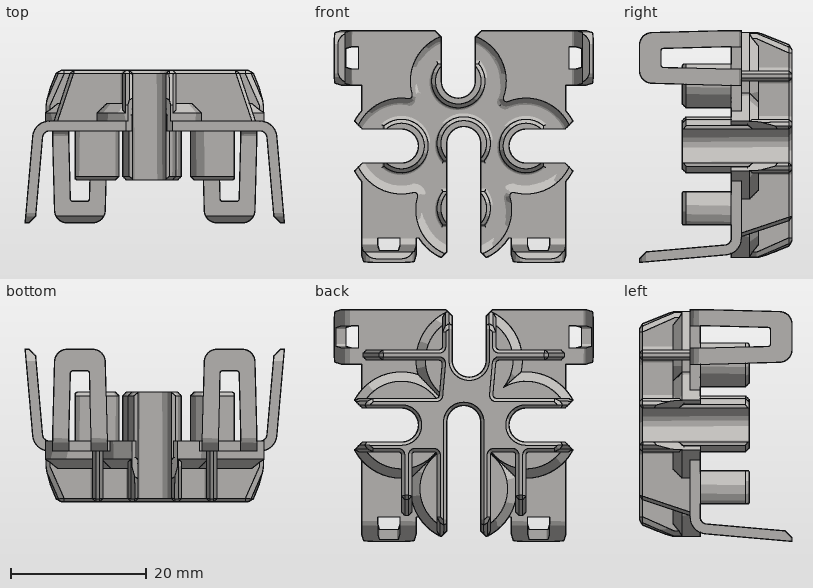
import cadquery as cq
import math

WIDTH = 38.22
DEPTH = 22.5
BACK = 9.0
TIP = BACK - DEPTH
PLATE = 1.5
PLATE_HALF = 15.05
PLATE_TOP = 17.0
BOTTOM = -17.15
CUT = 76.45

SLOT_R = 2.5
TUBE_R = 3.95
TUBE_FRONT = -7.22
TUBE_CHAMFER = 0.57
ARM = 2.55
LOW_ARM = 2.45
FOOT_FILLET = 0.5
SIDE_X = 9.17
LEFT_C = (-SIDE_X, 0.0)
RIGHT_C = (SIDE_X, 0.0)
TOP_C = (-0.8, 9.55)
MID_C = (0.0, 0.4)
LOW_TUBE_C = (0.0, -9.17)

LOW_C = (0.0, -9.35)
BOSS_R = 7.85
BOSS_TOP = 4.05
BOSS_CHAMFER = 1.38
POCKET_R = 7.07
POCKET_DEPTH = 3.3
POCKET_CHAMFER = 0.88
POCKET_FLOOR_FILLET = 0.9
CUSP_FILLET = 0.5

CONE_LENGTH = 5.15
CONE_ANGLE = 20.0
RIB = 1.53
RIB_Z = 10.32
RIB_X = 8.4
RIB_INSET = 0.23
RIB_ANGLE = 18.5
CORNER_FILLET = 0.5
EDGE_CHAMFER = 0.5

BEND_R = 1.0
LEG_ANGLE = 5.0
LEG_W = 8.05
LEG_SLOT_W = 3.25
LEG_SLOT_END = -10.32
LEG_SLOT_CORNER_R = 0.3
LEG_SIDE_TAPER = 1.5
LEG_CORNER_R = 1.9
LEG_TIP_CHAMFER = 1.05

DOWN = (0, -1)
PETALS = [
    (LEFT_C, (-1, 0), 5.75),
    (RIGHT_C, (1, 0), 5.75),
    (TOP_C, (0, 1), 6.5),
    (LOW_C, DOWN, 6.23),
]

BEND_OUTER = BEND_R + PLATE
SPLAY = math.radians(LEG_ANGLE)
LEG_DROP = BEND_OUTER * math.sin(SPLAY) - BEND_R - TIP
LEG_REACH = BEND_OUTER * math.cos(SPLAY) + LEG_DROP * math.tan(SPLAY)
PLATE_LOW = BOTTOM + LEG_REACH


def prism(points, y0, y1):
    """Extrude an (x, z) polygon from y0 to y1."""
    return cq.Workplane("XZ", origin=(0, y1, 0)).polyline(points).close().extrude(y1 - y0)


def disc(centre, radius, y0, y1):
    return cq.Workplane("XZ", origin=(0, y1, 0)).center(*centre).circle(radius).extrude(y1 - y0)


def along(centre, direction, points):
    """Turn (outward, sideways) offsets from a slot centre into (x, z) points."""
    (cx, cz), (dx, dz) = centre, direction
    return [(cx + u * dx - v * dz, cz + u * dz + v * dx) for u, v in points]


def strip(centre, direction, start, end, half, y0, y1):
    """Bar of half-width `half` running along a slot direction."""
    corners = [(start, -half), (end, -half), (end, half), (start, half)]
    return prism(along(centre, direction, corners), y0, y1)


def union(solids):
    total = solids[0]
    for solid in solids[1:]:
        total = total.union(solid)
    return total



def boss():
    """Four petals with bevelled rear rims around the slotted tubes, and a filled centre."""
    petals = [disc(centre, BOSS_R, 0, BOSS_TOP).faces(">Y").chamfer(BOSS_CHAMFER) for centre, _, _ in PETALS]
    return union(petals + [disc(MID_C, TUBE_R, 0, BOSS_TOP)])


def cusp(first, second, radius):
    """Outer crossing point of two equal circles, taken anticlockwise around the flower."""
    mid_x, mid_z = (first[0] + second[0]) / 2, (first[1] + second[1]) / 2
    gap = math.dist(first, second)
    height = math.sqrt(radius**2 - gap**2 / 4)
    return (mid_x + height * (second[1] - first[1]) / gap, mid_z - height * (second[0] - first[0]) / gap)


def pocket():
    """Flower-shaped hollow with rounded cusps and a bevelled, rounded floor rim."""
    ring = [RIGHT_C, TOP_C, LEFT_C, LOW_C]
    cusps = [cusp(ring[i - 1], ring[i], POCKET_R) for i in range(len(ring))]
    outline = cq.Workplane("XZ", origin=(0, POCKET_DEPTH, 0)).moveTo(*cusps[0])
    for (cx, cz), end in zip(ring, cusps[1:] + cusps[:1]):
        stretch = 1 + POCKET_R / math.hypot(cx, cz)
        outline = outline.threePointArc((cx * stretch, cz * stretch), end)
    hollow = outline.close().extrude(POCKET_DEPTH).edges("|Y").fillet(CUSP_FILLET)
    hollow = hollow.faces(">Y").chamfer(POCKET_CHAMFER)
    return hollow.faces(">Y").edges().fillet(POCKET_FLOOR_FILLET)



def straight_slots():
    """Through slots with round inner ends; the lower one starts at the middle tube."""
    starts = [LEFT_C, RIGHT_C, TOP_C, MID_C]
    cuts = [disc(start, SLOT_R, TUBE_FRONT, BACK) for start in starts]
    for start, (_, direction, _) in zip(starts, PETALS):
        cuts.append(strip(start, direction, 0, CUT, SLOT_R, TUBE_FRONT, BACK))
    return union(cuts).clean()


def slot_mouths():
    """45 degree flares at the open ends of the slots."""
    flares = []
    for centre, direction, mouth in PETALS:
        wedge = [(mouth - SLOT_R, 0), (mouth + SLOT_R, -2 * SLOT_R), (mouth + SLOT_R, 2 * SLOT_R)]
        flares.append(prism(along(centre, direction, wedge), 0, BACK))
    return union(flares)



def tapered_end(centre):
    """Turned envelope that rounds and tapers the outer end of a slot wall."""
    back_r = BOSS_R - CONE_LENGTH * math.tan(math.radians(CONE_ANGLE))
    profile = [(0, 0), (BOSS_R, 0), (BOSS_R, BACK - CONE_LENGTH), (back_r, BACK), (0, BACK)]
    turned = cq.Workplane("XY").polyline(profile).close().revolve(360, (0, 0, 0), (0, 1, 0))
    return turned.translate((centre[0], 0, centre[1]))


def slot_wall(centre, direction):
    wall = disc(centre, TUBE_R, 0, BACK).union(strip(centre, direction, 0, BOSS_R, TUBE_R, 0, BACK))
    return wall.intersect(tapered_end(centre))


def wall_core():
    """Solid core joining the four slot walls."""
    crossbar = strip(LEFT_C, (1, 0), 0, 2 * SIDE_X, TUBE_R, 0, BACK)
    stem = strip(MID_C, DOWN, 0, MID_C[1] - LOW_C[1], TUBE_R, 0, BACK)
    bridge = prism([(TOP_C[0] - TUBE_R, TOP_C[1]), (MID_C[0] - TUBE_R, MID_C[1]),
                    (MID_C[0] + TUBE_R, MID_C[1]), (TOP_C[0] + TUBE_R, TOP_C[1])], 0, BACK)
    return [crossbar, stem, bridge, disc(MID_C, TUBE_R, 0, BACK)]


def rib(outer_end):
    """Rib along +X from the part's middle to a sloping outer end, centred on z = 0."""
    run = (BACK - PLATE) * math.tan(math.radians(RIB_ANGLE))
    outline = [(0, 0), (outer_end, 0), (outer_end, PLATE), (outer_end - run, BACK), (0, BACK)]
    return cq.Workplane("XY", origin=(0, 0, -RIB / 2)).polyline(outline).close().extrude(RIB)


def ribs():
    side = rib(PLATE_HALF - RIB_INSET).translate((0, 0, RIB_Z))
    low = rib(-PLATE_LOW - RIB_INSET).rotate((0, 0, 0), (0, 1, 0), 90).translate((RIB_X, 0, 0))
    return [side, side.mirror("YZ"), low, low.mirror("YZ")]


def inner_corners():
    """(x, z) of the inner corners between walls and ribs."""
    lean = (TUBE_R - MID_C[1]) / (TOP_C[1] - MID_C[1])
    bridge_x = MID_C[0] + lean * (TOP_C[0] - MID_C[0])
    corners = []
    for side in (-1, 1):
        corners += [
            (TOP_C[0] + side * TUBE_R, RIB_Z + RIB / 2),
            (TOP_C[0] + side * TUBE_R, RIB_Z - RIB / 2),
            (bridge_x + side * TUBE_R, TUBE_R),
            (side * TUBE_R, -TUBE_R),
            (side * (RIB_X - RIB / 2), -TUBE_R),
            (side * (RIB_X + RIB / 2), -TUBE_R),
        ]
    return corners


def at_inner_corner(edge):
    spot = edge.Center()
    return any(math.dist((spot.x, spot.z), corner) < EDGE_CHAMFER / 2 for corner in inner_corners())


def is_rear_edge(edge):
    """Edges of the rear face, of the sloping ends, and the long upright edges of the wall ends."""
    start, end = edge.startPoint(), edge.endPoint()
    upright = abs(edge.tangentAt(0.5).y) > 0.99
    if max(start.y, end.y) > BACK - EDGE_CHAMFER:
        return not upright
    on_rim = any(abs(math.dist((start.x, start.z), centre) - BOSS_R) < 0.005 for centre, _, _ in PETALS)
    return upright and on_rim and abs(start.y - end.y) > PLATE


def rear_frame():
    walls = [slot_wall(centre, direction) for centre, direction, _ in PETALS]
    frame = union(walls + wall_core() + ribs()).clean()
    frame = frame.edges("|Y").filter(at_inner_corner).fillet(CORNER_FILLET)
    frame = frame.cut(straight_slots())
    return frame.edges().filter(is_rear_edge).chamfer(EDGE_CHAMFER)



def bend_point(radius, angle):
    return (radius * math.cos(angle), radius * math.sin(angle))


def leg_blank():
    """Side profile of a leg: flat stub, bend about the origin, splayed shank with a bevelled tip."""
    middle = (SPLAY + math.pi / 2) / 2
    tip = TIP + BEND_R
    tip_back = LEG_REACH - PLATE / math.cos(SPLAY)
    bevel_start = (tip_back - LEG_TIP_CHAMFER * math.tan(SPLAY), tip + LEG_TIP_CHAMFER)
    return (
        cq.Workplane("XY", origin=(0, 0, -LEG_W / 2))
        .moveTo(-BEND_OUTER, BEND_OUTER)
        .lineTo(0, BEND_OUTER)
        .threePointArc(bend_point(BEND_OUTER, middle), bend_point(BEND_OUTER, SPLAY))
        .lineTo(LEG_REACH, tip)
        .lineTo(bevel_start[0] + LEG_TIP_CHAMFER, tip)
        .lineTo(*bevel_start)
        .lineTo(*bend_point(BEND_R, SPLAY))
        .threePointArc(bend_point(BEND_R, middle), (0, BEND_R))
        .lineTo(-BEND_OUTER, BEND_R)
        .close()
        .extrude(LEG_W)
    )


def tapered_bar(start_x, half, end, corner_r):
    """Bar along +X whose (y, z) outline narrows from y = 0 towards a round-cornered end."""
    end_half = half + end * math.tan(math.radians(LEG_SIDE_TAPER))
    outline = [(BEND_OUTER, -half), (BEND_OUTER, half), (0, half),
               (end, end_half), (end, -end_half), (0, -half)]
    bar = cq.Workplane("YZ", origin=(start_x, 0, 0)).polyline(outline).close().extrude(CUT)
    return bar.edges("|X and <Y").fillet(corner_r)


def leg():
    """Leg with its bend centre at the origin, reaching towards +X and -Y."""
    face = tapered_bar(-BEND_OUTER, LEG_W / 2, TIP + BEND_R, LEG_CORNER_R)
    window = tapered_bar(0, LEG_SLOT_W / 2, LEG_SLOT_END + BEND_R, LEG_SLOT_CORNER_R)
    return leg_blank().intersect(face).cut(window)


def legs():
    side = leg().translate((WIDTH / 2 - LEG_REACH, -BEND_R, PLATE_TOP - LEG_W / 2))
    low = leg().rotate((0, 0, 0), (0, 1, 0), 90)
    low = low.translate((PLATE_HALF - LEG_W / 2, -BEND_R, PLATE_LOW))
    return [side, side.mirror("YZ"), low, low.mirror("YZ")]



def foot_box(centre):
    """Opposite corners of a flat box holding the foot edges of a tube but not its floor rim."""
    reach = TUBE_R + FOOT_FILLET / 2
    low = (centre[0] - reach, POCKET_DEPTH - FOOT_FILLET / 2, centre[1] - reach)
    high = (centre[0] + reach, POCKET_DEPTH + FOOT_FILLET / 2, centre[1] + reach)
    return low, high


def tube(centre, direction, inner_reach, outer_reach):
    """Tube standing on the pocket floor, cut flat at both reaches, with a filleted foot."""
    post = disc(centre, TUBE_R, TUBE_FRONT, POCKET_DEPTH).faces("<Y").chamfer(TUBE_CHAMFER)
    post = post.intersect(strip(centre, direction, -inner_reach, outer_reach, CUT, TUBE_FRONT, POCKET_DEPTH))
    floor = disc(centre, TUBE_R + 2 * FOOT_FILLET, POCKET_DEPTH, BOSS_TOP)
    standing = post.union(floor)
    foot = cq.selectors.BoxSelector(*foot_box(centre), boundingbox=True)
    return standing.edges(foot).fillet(FOOT_FILLET)


def tubes():
    open_tubes = [(LEFT_C, (-1, 0)), (RIGHT_C, (1, 0)), (TOP_C, (0, 1)), (MID_C, DOWN)]
    posts = [tube(centre, direction, TUBE_R, ARM) for centre, direction in open_tubes]
    return posts + [tube(LOW_TUBE_C, DOWN, LOW_ARM, LOW_ARM)]


plate = prism([(-PLATE_HALF, PLATE_LOW), (PLATE_HALF, PLATE_LOW),
               (PLATE_HALF, PLATE_TOP), (-PLATE_HALF, PLATE_TOP)], 0, PLATE)
shell = union([plate, boss(), rear_frame()])
shell = union([shell] + legs()).cut(pocket())
result = union([shell] + tubes()).cut(straight_slots()).cut(slot_mouths())